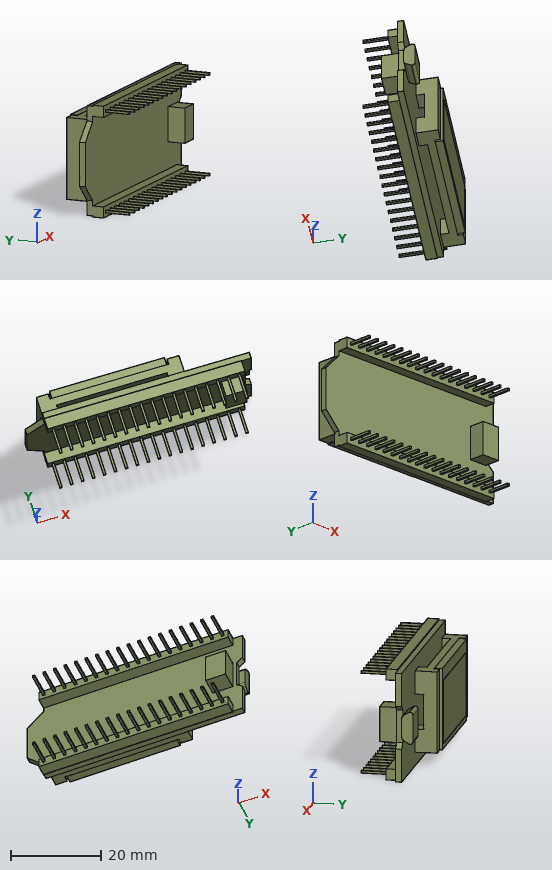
import cadquery as cq


board_length = 52.0
board_width = 24.9
board_thickness = 1.42
tip_length = 3.98
tip_root_width = 18.0
tip_end_width = 10.0
notch_depth = 1.36
notch_floor_width = 7.4
notch_mouth_width = 9.8

pin_pitch = 2.54
pin_count = 18
pin_size = 0.55
pin_length = 5.81
header_span = 25.4
header_width = pin_pitch
header_height = 2.6
header_length = pin_count * pin_pitch
header_row_offset = (header_span - header_width) / 2
header_right = tip_length + header_length

battery_length = 4.8
battery_width = 8.0
battery_height = 4.02

usb_length = 5.6
usb_height = 2.55
usb_width = 7.37
usb_base_width = 5.3
usb_wall_bottom = 1.72
usb_base_round = 1.0
usb_top_round = 0.67

carrier_left = 4.14
carrier_length = 33.1
carrier_width = 18.6
carrier_height = 4.98
end_block_length = 2.77
deck_bottom = 1.9
deck_top = 3.72
leg_length = 3.75
leg_gap = 8.0

panel_gap = 0.46
panel_thickness = 1.77
film_thickness = 0.07
film_length = 24.67
film_width = 14.5
film_inset = 0.95
film_shift = -0.84


def block(x_start, length, y_start, height, width, z_centre=0.0):
    """Box from x_start and y_start, centred on z_centre across the board."""
    box = cq.Workplane("XY").box(length, height, width, centered=(False, False, True))
    return box.translate((x_start, y_start, z_centre))


def make_board_plate():
    """Board with a tapered left tip and a flared notch in its right end."""
    lower_half = [
        (0, -tip_end_width / 2),
        (tip_length, -tip_root_width / 2),
        (tip_length, -board_width / 2),
        (board_length, -board_width / 2),
        (board_length, -notch_mouth_width / 2),
        (board_length - notch_depth, -notch_floor_width / 2),
    ]
    upper_half = [(x, -z) for x, z in reversed(lower_half)]
    outline = cq.Workplane("XZ").polyline(lower_half + upper_half).close()
    return outline.extrude(board_thickness)


def make_header(row_z):
    """One header strip with its row of square pins."""
    strip_bottom = -board_thickness - header_height
    header = block(tip_length, header_length, strip_bottom, header_height, header_width, row_z)
    for i in range(pin_count):
        pin_x = tip_length + (i + 0.5) * pin_pitch - pin_size / 2
        pin = block(pin_x, pin_size, strip_bottom - pin_length, pin_length, pin_size, row_z)
        header = header.union(pin)
    return header


def make_battery_socket():
    """Plain socket whose right end is flush with the headers."""
    left = header_right - battery_length
    return block(left, battery_length, -board_thickness - battery_height, battery_height, battery_width)


def make_usb_socket():
    """USB socket flush with the board's right end, flared outward from its rounded base."""
    right_half = [
        (0, usb_base_width / 2),
        (usb_wall_bottom, usb_width / 2),
        (usb_height, usb_width / 2),
    ]
    left_half = [(y, -z) for y, z in reversed(right_half)]
    socket = cq.Workplane("YZ").polyline(right_half + left_half).close().extrude(usb_length)
    socket = socket.faces("<Y").edges("|X").fillet(usb_base_round)
    socket = socket.faces(">Y").edges("|X").fillet(usb_top_round)
    return socket.translate((board_length - usb_length, 0, 0))


def make_board():
    """Board with its headers and both sockets, one solid."""
    board = make_board_plate()
    for side in (-1, 1):
        board = board.union(make_header(side * header_row_offset))
    return board.union(make_battery_socket()).union(make_usb_socket())


def make_carrier():
    """Display carrier: a deck on four legs, with a raised block at each end."""
    carrier = block(carrier_left, carrier_length, 0, carrier_height, carrier_width)
    recess_length = carrier_length - 2 * end_block_length
    recess = block(
        carrier_left + end_block_length, recess_length, deck_top, carrier_height - deck_top, carrier_width
    )
    tunnel_length = carrier_length - 2 * leg_length
    cross_tunnel = block(carrier_left + leg_length, tunnel_length, 0, deck_bottom, carrier_width)
    long_tunnel = block(carrier_left, carrier_length, 0, deck_bottom, leg_gap)
    return carrier.cut(recess).cut(cross_tunnel).cut(long_tunnel)


def make_panel():
    """Display panel with the thin film on its face, resting on the carrier deck."""
    left = carrier_left + end_block_length + panel_gap
    length = carrier_length - 2 * (end_block_length + panel_gap)
    panel = block(left, length, deck_top, panel_thickness, carrier_width)
    film = block(
        left + film_inset, film_length, deck_top + panel_thickness, film_thickness, film_width, film_shift
    )
    return panel.union(film)


board = make_board()
carrier = make_carrier()
panel = make_panel()

result = cq.Compound.makeCompound([board.val(), carrier.val(), panel.val()])